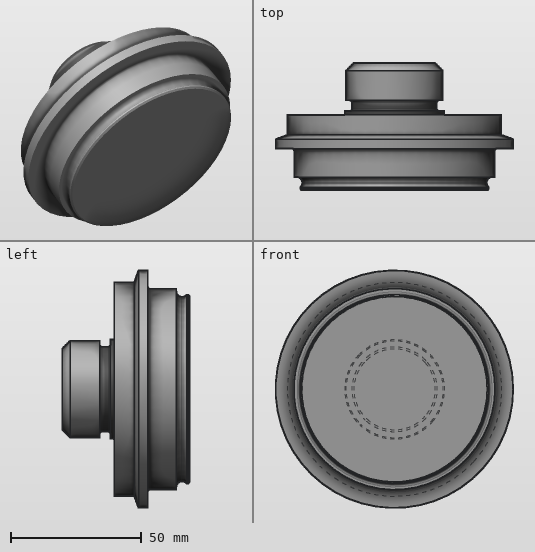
import cadquery as cq
import math


bead_diameter = 72.21
groove_diameter = 70.74
pilot_diameter = 76.86
flange_diameter = 90.91
body_diameter = 81.89
collar_diameter = 38.1
neck_diameter = 32.51
stem_diameter = 37.13

bead_land_end = 1.2
pilot_front = 5.08
flange_front = 16.0
body_back = 28.9
collar_back = 30.4
stem_front = 34.4
stem_tip = 48.77

front_chamfer = 0.635
groove_wall_radius = 1.905
flange_fillet = 0.76
collar_fillet = 0.25
neck_fillet = 0.76
tip_chamfer = 3.05
flange_rim_width = 3.6
flange_taper_angle = 20.0

bead_radius = bead_diameter / 2
groove_radius = groove_diameter / 2
pilot_radius = pilot_diameter / 2
flange_radius = flange_diameter / 2
body_radius = body_diameter / 2
collar_radius = collar_diameter / 2
neck_radius = neck_diameter / 2
stem_radius = stem_diameter / 2

bead_height = bead_radius - groove_radius
groove_entry_length = math.sqrt(groove_wall_radius**2 - (groove_wall_radius - bead_height) ** 2)
groove_floor_start = bead_land_end + groove_entry_length
groove_floor_end = pilot_front - groove_wall_radius

flange_back = flange_front + flange_rim_width
taper_length = (flange_radius - body_radius) * math.tan(math.radians(flange_taper_angle))


def half_profile():
    """Outline of half the plug in the XY plane, with X as the radius."""
    return (
        cq.Workplane("XY")
        .moveTo(0, 0)
        .lineTo(bead_radius - front_chamfer, 0)
        .lineTo(bead_radius, front_chamfer)
        .lineTo(bead_radius, bead_land_end)
        .radiusArc((groove_radius, groove_floor_start), groove_wall_radius)
        .lineTo(groove_radius, groove_floor_end)
        .radiusArc((groove_radius + groove_wall_radius, pilot_front), groove_wall_radius)
        .lineTo(pilot_radius, pilot_front)
        .lineTo(pilot_radius, flange_front - flange_fillet)
        .radiusArc((pilot_radius + flange_fillet, flange_front), flange_fillet)
        .lineTo(flange_radius, flange_front)
        .lineTo(flange_radius, flange_back)
        .lineTo(body_radius, flange_back + taper_length)
        .lineTo(body_radius, body_back)
        .lineTo(collar_radius + collar_fillet, body_back)
        .radiusArc((collar_radius, body_back + collar_fillet), collar_fillet)
        .lineTo(collar_radius, collar_back)
        .lineTo(neck_radius + neck_fillet, collar_back)
        .radiusArc((neck_radius, collar_back + neck_fillet), neck_fillet)
        .lineTo(neck_radius, stem_front - neck_fillet)
        .radiusArc((neck_radius + neck_fillet, stem_front), neck_fillet)
        .lineTo(stem_radius, stem_front)
        .lineTo(stem_radius, stem_tip - tip_chamfer)
        .lineTo(stem_radius - tip_chamfer, stem_tip)
        .lineTo(0, stem_tip)
        .close()
    )


result = half_profile().revolve(360, (0, 0, 0), (0, 1, 0))